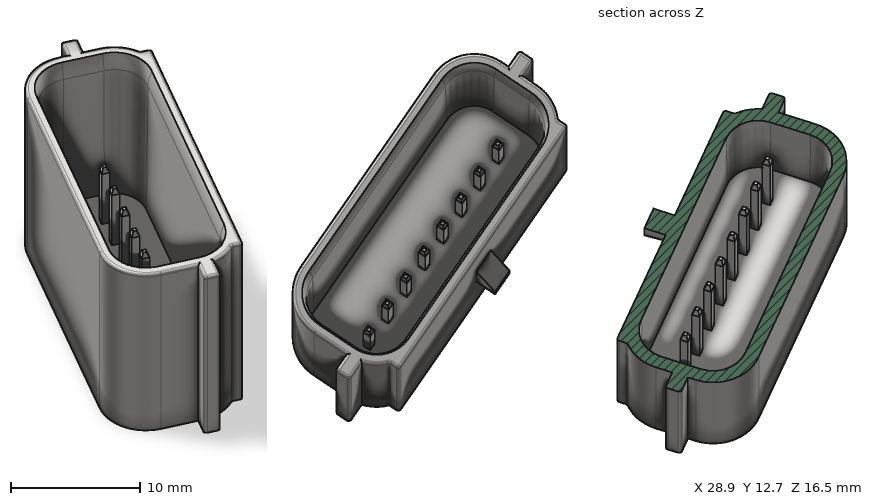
import cadquery as cq
import math

overall_width = 28.95
height = 16.5
body_width = 25.9
body_depth = 10.89
corner_radius = 3.8
edge_radius = 0.245

rim_thickness = 0.75
lip_width = 0.32
lip_height = 1.5
draft_angle = 0.6
floor_thickness = 2.03

pad_width = 23.28
pad_depth = 2.9

rib_thickness = 1.33
left_rib_y = -0.35
right_rib_y = 2.05

latch_width = 2.03
latch_reach = 1.77
latch_root_low = 7.47
latch_nose_low = 7.32
latch_nose_high = 8.28
latch_root_high = 11.25

pin_count = 8
pin_row_length = 17.78
pin_side = 0.65
pin_row_y = 0.75
pin_length = 5.8
tip_inset = 0.17
tip_height = 0.52

back_y = body_depth / 2
wall = rim_thickness + lip_width
lip_base = height - lip_height
cavity_width = body_width - 2 * wall
cavity_depth = body_depth - 2 * wall
cavity_radius = corner_radius - wall


def rounded_block(width, depth, radius, tall):
    block = cq.Workplane("XY").rect(width, depth).extrude(tall)
    return block.edges("|Z").fillet(radius)


def guide_rib(side, y):
    """Full-height rib from the centre plane out to the overall width; side is -1 or 1."""
    length = overall_width / 2
    rib = cq.Workplane("XY").center(side * length / 2, y).rect(length, rib_thickness).extrude(height)
    return rib.edges("|Z").edges("<X" if side < 0 else ">X").fillet(edge_radius)


def back_pad():
    pad = cq.Workplane("XY").center(0, back_y - pad_depth / 2).rect(pad_width, pad_depth).extrude(height)
    return pad.edges("|Z and >Y").fillet(edge_radius)


def round_pad_joints(solid):
    """Blend the inner corners where the pad sides run into the rounded tub corners."""
    centre_x = body_width / 2 - corner_radius
    centre_y = body_depth / 2 - corner_radius
    joint_x = pad_width / 2
    joint_y = centre_y + math.sqrt(corner_radius**2 - (joint_x - centre_x) ** 2)
    for side in (-1, 1):
        joint = cq.selectors.NearestToPointSelector((side * joint_x, joint_y, height / 2))
        solid = solid.edges("|Z").edges(joint).fillet(edge_radius)
    return solid


def outer_shell():
    shell = rounded_block(body_width, body_depth, corner_radius, height)
    shell = round_pad_joints(shell.union(back_pad()))
    shell = shell.union(guide_rib(-1, left_rib_y)).union(guide_rib(1, right_rib_y))
    return shell.faces(">Z").edges().fillet(edge_radius)


def cavity():
    """Pocket below the lip, narrowing towards the floor by the draft angle."""
    mouth = rounded_block(cavity_width, cavity_depth, cavity_radius, lip_height).translate((0, 0, lip_base))
    pocket_depth = lip_base - floor_thickness
    return mouth.faces("<Z").wires().toPending().workplane().extrude(pocket_depth, taper=draft_angle)


def lip_flare():
    """Ring that widens the mouth along an arc that leaves the cavity wall tangentially."""
    arc_radius = (lip_height**2 + lip_width**2) / (2 * lip_width)
    half_sweep = math.asin(lip_height / arc_radius) / 2
    wall_y = -cavity_depth / 2
    arc_middle = (
        wall_y - arc_radius * (1 - math.cos(half_sweep)),
        lip_base + arc_radius * math.sin(half_sweep),
    )
    path = rounded_block(cavity_width, cavity_depth, cavity_radius, height).faces("<Z").wires()
    profile = (
        cq.Workplane("YZ")
        .moveTo(wall_y, lip_base)
        .threePointArc(arc_middle, (wall_y - lip_width, height))
        .lineTo(wall_y + lip_width, height)
        .lineTo(wall_y + lip_width, lip_base)
        .close()
    )
    return profile.sweep(path)


def latch():
    root_y = back_y - wall / 2
    profile = [
        (root_y, latch_root_low),
        (back_y, latch_root_low),
        (back_y + latch_reach, latch_nose_low),
        (back_y + latch_reach, latch_nose_high),
        (back_y, latch_root_high),
        (root_y, latch_root_high),
    ]
    return cq.Workplane("YZ").polyline(profile).close().extrude(latch_width / 2, both=True)


def pin(x):
    """Square pin rooted in the floor, with a tapered tip."""
    post = cq.Workplane("XY").rect(pin_side, pin_side).extrude(floor_thickness / 2 + pin_length)
    post = post.faces(">Z").chamfer(tip_height, tip_inset)
    return post.translate((x, pin_row_y, floor_thickness / 2))


pin_pitch = pin_row_length / (pin_count - 1)
result = outer_shell().cut(cavity()).cut(lip_flare()).union(latch())
for index in range(pin_count):
    result = result.union(pin(index * pin_pitch - pin_row_length / 2))